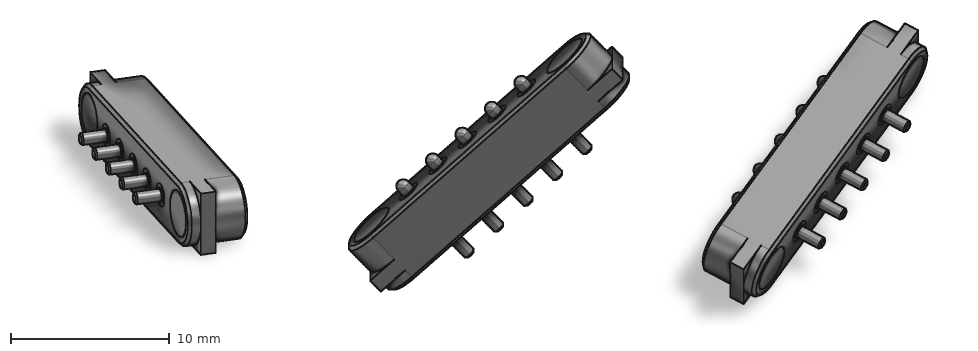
import cadquery as cq

length = 20.8
height = 4.2
housing_depth = 4.0
end_radius = height / 2
edge_chamfer = 0.2

band_offset = 0.81
band_thickness = 1.0

magnet_diameter = 3.0
magnet_edge_radius = 0.1
magnet_x = length / 2 - end_radius
magnet_positions = [-magnet_x, magnet_x]

pin_count = 5
pin_pitch = 2.54
barrel_diameter = 1.5
tail_diameter = 0.8
tail_length = 1.75
tail_tip_chamfer = 0.1
tail_root_flare = 0.1
tail_root_height = 0.06
plunger_diameter = 0.9
plunger_height = 0.92
pin_positions = [(i - (pin_count - 1) / 2) * pin_pitch for i in range(pin_count)]


def plane_at(y):
    """XZ workplane at the given Y that extrudes toward +Y."""
    return cq.Workplane("XZ", origin=(0, y, 0)).transformed(rotate=(180, 0, 0))


def make_cylinder(x, diameter):
    """Cylinder along Y at the given X, as long as the housing is deep."""
    return plane_at(0).center(x, 0).circle(diameter / 2).extrude(housing_depth)


def make_housing():
    bar = plane_at(0).slot2D(length, height).extrude(housing_depth)
    bar = bar.faces("<Y or >Y").chamfer(edge_chamfer)
    band = plane_at(band_offset).rect(length, height).extrude(band_thickness)
    housing = bar.union(band)

    for x in magnet_positions:
        housing = housing.cut(make_cylinder(x, magnet_diameter))
    seat_rims = housing.faces("<Y or >Y").edges("%CIRCLE").edges(cq.selectors.RadiusNthSelector(0))
    housing = seat_rims.fillet(magnet_edge_radius)

    for x in pin_positions:
        housing = housing.cut(make_cylinder(x, barrel_diameter))
    return housing


def make_magnet(x):
    return make_cylinder(x, magnet_diameter).faces("<Y or >Y").fillet(magnet_edge_radius)


def make_pin(x):
    """Solder tail, barrel and domed plunger, revolved as one profile about the pin axis."""
    barrel_radius = barrel_diameter / 2
    tail_radius = tail_diameter / 2
    dome_radius = plunger_diameter / 2
    tip_y = housing_depth + plunger_height
    dome_base_y = tip_y - dome_radius
    dome_diagonal = dome_radius * 0.5**0.5
    profile = (
        cq.Workplane("XY")
        .moveTo(0, -tail_length)
        .lineTo(tail_radius - tail_tip_chamfer, -tail_length)
        .lineTo(tail_radius, -tail_length + tail_tip_chamfer)
        .lineTo(tail_radius, -tail_root_height)
        .lineTo(tail_radius + tail_root_flare, 0)
        .lineTo(barrel_radius, 0)
        .lineTo(barrel_radius, housing_depth)
        .lineTo(dome_radius, housing_depth)
        .lineTo(dome_radius, dome_base_y)
        .threePointArc((dome_diagonal, dome_base_y + dome_diagonal), (0, tip_y))
        .close()
    )
    return profile.revolve(360, (0, 0, 0), (0, 1, 0)).translate((x, 0, 0))


housing = make_housing()
magnets = [make_magnet(x) for x in magnet_positions]
pins = [make_pin(x) for x in pin_positions]

result = cq.Compound.makeCompound(
    [housing.val(), *[magnet.val() for magnet in magnets], *[pin.val() for pin in pins]]
)